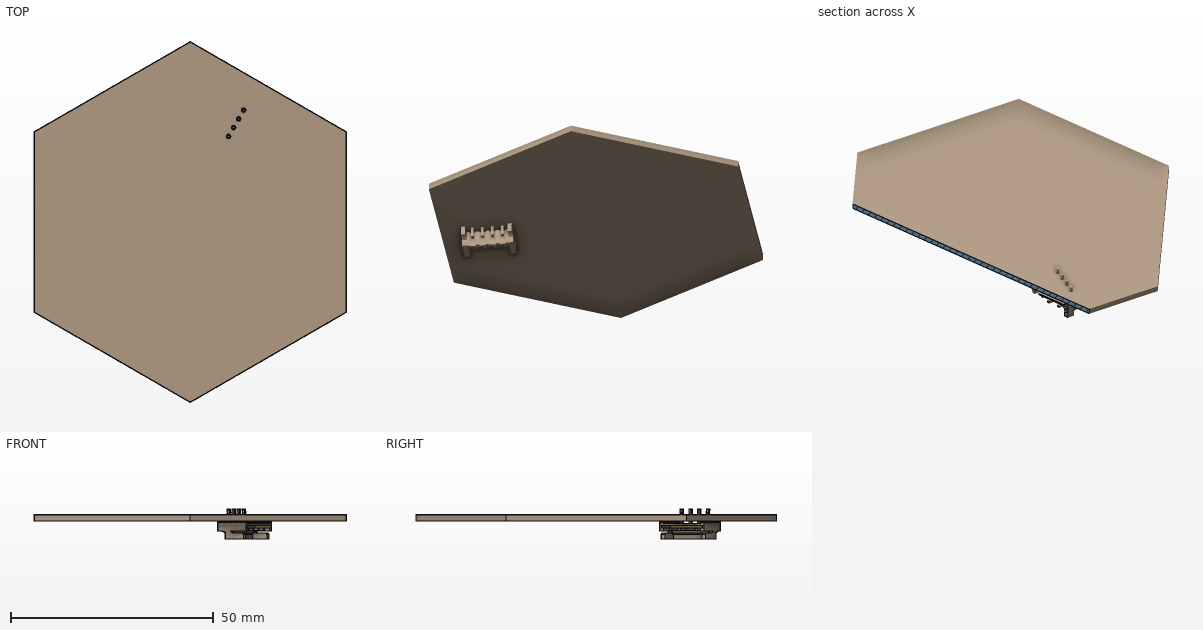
import cadquery as cq

side_count = 6
corner_distance = 89.0
corner_turn = 30.0
board_thickness = 1.6
hole_diameter = 1.0

row_x = 11.3
row_y = 24.4
row_turn = -30.0
pin_count = 4
pin_pitch = 2.5
pin_width = 0.6
pin_top = board_thickness + 1.3
pin_bend_bottom = -2.4
pin_tip = 5.7
kink_height = board_thickness + 0.45
kink_offset = 0.2
pin_offsets = [(i - (pin_count - 1) / 2) * pin_pitch for i in range(pin_count)]

housing_length = 12.6
side_back = -1.6
side_front = 6.5
side_top = -0.3
side_bottom = -2.5
wall = 1.1
rear_back = 0.5
rear_front = 2.05
floor_top = -0.6
floor_bottom = -1.2
groove_bottom = -1.7
groove_depth = 0.6
leg_front = 5.8
leg_top = -2.9
gap_slope = 0.5
leg_chamfer = 0.4
housing_bottom = -4.45
web_back = -0.5
web_bottom = -2.85
undercut_depth = 0.45
undercut_top = -2.9
undercut_slope = 0.45
slot_width = 1.5
slot_depth = 0.45

half_length = housing_length / 2
half_inside = half_length - wall


def block(x_range, y_range, z_range):
    """Box that fills the given ranges of the connector frame; each range is in rising order."""
    lengths = [high - low for low, high in (x_range, y_range, z_range)]
    corner = (x_range[0], y_range[0], z_range[0])
    return cq.Workplane("XY").box(*lengths, centered=False).translate(corner)


def side_profile(points, y_start, thickness):
    """Prism of an XZ outline that runs from y_start toward +Y."""
    return cq.Workplane("XZ", origin=(0, y_start, 0)).polyline(points).close().extrude(-thickness)


def place(part):
    """Move a part from the connector frame to its place on the board."""
    return part.rotate((0, 0, 0), (0, 0, 1), row_turn).translate((row_x, row_y, 0))


def make_board():
    board = (
        cq.Workplane("XY")
        .polygon(side_count, corner_distance)
        .extrude(board_thickness)
        .rotate((0, 0, 0), (0, 0, 1), corner_turn)
    )
    holes = (
        cq.Workplane("XY")
        .pushPoints([(0, y) for y in pin_offsets])
        .circle(hole_diameter / 2)
        .extrude(board_thickness)
    )
    return board.cut(place(holes))


def make_end_wall(y_start):
    """End wall: upper side plate, web that slopes down to the rear, and a lower leg beneath an open gap."""
    plate_and_leg = [
        (side_back, side_top),
        (side_front, side_top),
        (side_front, side_bottom),
        (rear_front, side_bottom),
        (rear_front + gap_slope, leg_top),
        (leg_front - leg_chamfer, leg_top),
        (leg_front, leg_top - leg_chamfer),
        (leg_front, housing_bottom),
        (rear_back, housing_bottom),
        (rear_back, web_bottom),
        (web_back, side_bottom),
        (side_back, side_bottom),
    ]
    return side_profile(plate_and_leg, y_start, wall)


def make_core():
    """Rear wall with its undercut front face, and the floor of the mating opening."""
    lower_front = rear_front - undercut_depth
    outline = [
        (rear_back, floor_top),
        (side_front, floor_top),
        (side_front, floor_bottom),
        (rear_front, floor_bottom),
        (rear_front, undercut_top),
        (lower_front, undercut_top - undercut_slope),
        (lower_front, housing_bottom),
        (rear_back, housing_bottom),
    ]
    return side_profile(outline, -half_inside, 2 * half_inside)


def make_pin(y, kink):
    """Square pin bent from the board hole into the mating opening; kink bows it forward above the board."""
    half = pin_width / 2
    outline = [
        (-half, pin_top),
        (half, pin_top),
        (half + kink, kink_height),
        (half, board_thickness),
        (half, pin_bend_bottom + pin_width),
        (pin_tip, pin_bend_bottom + pin_width),
        (pin_tip, pin_bend_bottom),
        (-half, pin_bend_bottom),
        (-half, board_thickness),
        (-half + kink, kink_height),
    ]
    return side_profile(outline, y - half, pin_width)


def make_connector():
    connector = make_core()
    for y_start in (-half_length, half_inside):
        connector = connector.union(make_end_wall(y_start))

    half_groove = half_inside + groove_depth
    groove = block((rear_front, side_front), (-half_groove, half_groove), (groove_bottom, floor_bottom))
    connector = connector.cut(groove)

    for y in pin_offsets:
        slot_sides = (y - slot_width / 2, y + slot_width / 2)
        connector = connector.cut(
            block((rear_back, rear_back + slot_depth), slot_sides, (housing_bottom, floor_top))
        )

    for y in pin_offsets:
        is_outer = y in (pin_offsets[0], pin_offsets[-1])
        connector = connector.union(make_pin(y, kink_offset if is_outer else 0))
    return place(connector)


board = make_board()
connector = make_connector()
result = cq.Compound.makeCompound([board.val(), connector.val()])